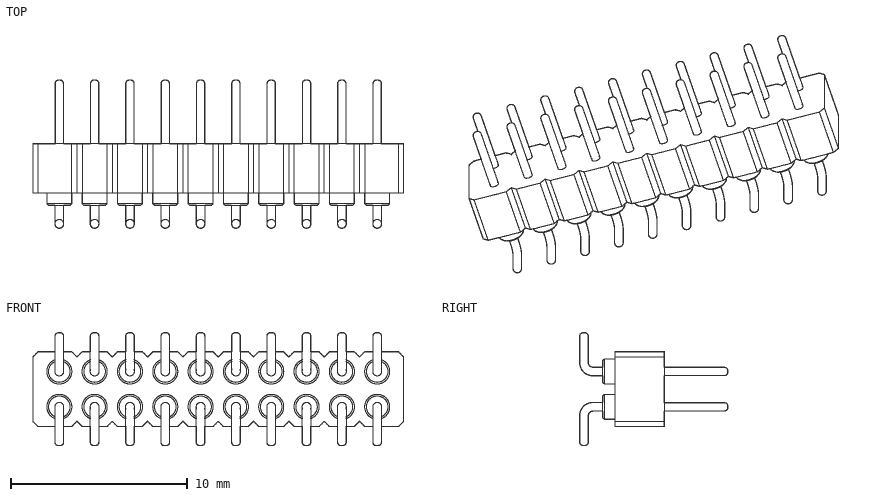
import cadquery as cq

column_count = 10
pitch = 2.0
row_sides = (1, -1)

end_margin = 1.5
body_length = (column_count - 1) * pitch + 2 * end_margin
body_depth = 2.8
body_height = 4.25
notch_depth = 0.3
notch_half_width = notch_depth

collar_diameter = 1.42
collar_length = 0.7
collar_chamfer = 0.1

tail_diameter = 0.48
tail_length = 3.6
tail_tip_fillet = 0.2

lead_diameter = 0.5
lead_reach = 2.0
lead_tip_height = 3.2
bend_radius = 0.5
lead_tip_fillet = 0.2

first_column = -(column_count - 1) * pitch / 2
columns = [first_column + i * pitch for i in range(column_count)]


def make_body():
    """Block with bevelled ends and V notches between the columns, top and bottom."""
    half_length = body_length / 2
    top = body_height / 2
    valley = top - notch_depth
    upper_edge = [(-half_length, valley), (-half_length + notch_half_width, top)]
    for x in columns[:-1]:
        notch_x = x + pitch / 2
        upper_edge.append((notch_x - notch_half_width, top))
        upper_edge.append((notch_x, valley))
        upper_edge.append((notch_x + notch_half_width, top))
    upper_edge += [(half_length - notch_half_width, top), (half_length, valley)]
    lower_edge = [(x, -z) for x, z in reversed(upper_edge)]
    return cq.Workplane("XZ").polyline(upper_edge + lower_edge).close().extrude(-body_depth)


def make_collar():
    """Chamfered collar on the Y axis, running from y = 0 toward -Y."""
    collar = cq.Workplane("XZ").circle(collar_diameter / 2).extrude(collar_length)
    return collar.faces("<Y").chamfer(collar_chamfer)


def make_tail():
    """Straight tail on the Y axis with a rounded rear tip."""
    tail = cq.Workplane("XZ", origin=(0, body_depth, 0)).circle(tail_diameter / 2).extrude(-tail_length)
    return tail.faces(">Y").edges().fillet(tail_tip_fillet)


def make_lead(rise):
    """Lead leaving the body toward -Y, then bent up to a rounded tip `rise` above its start."""
    lead_y = -lead_reach + lead_diameter / 2
    bend_start = lead_y + bend_radius
    path = (
        cq.Workplane("YZ")
        .moveTo(0, 0)
        .lineTo(bend_start, 0)
        .tangentArcPoint((lead_y, bend_radius), relative=False)
        .lineTo(lead_y, rise)
    )
    lead = cq.Workplane("XZ").circle(lead_diameter / 2).sweep(path)
    return lead.faces(">Z").edges().fillet(lead_tip_fillet)


def make_contact(side):
    """Collar, tail and lead of one pin; the lead turns up for side 1 and down for side -1."""
    contact = make_collar().union(make_tail()).union(make_lead(lead_tip_height - pitch / 2))
    if side < 0:
        contact = contact.rotate((0, 0, 0), (0, 1, 0), 180)
    return contact


result = make_body()
for side in row_sides:
    contact = make_contact(side)
    for x in columns:
        result = result.union(contact.translate((x, 0, side * pitch / 2)))